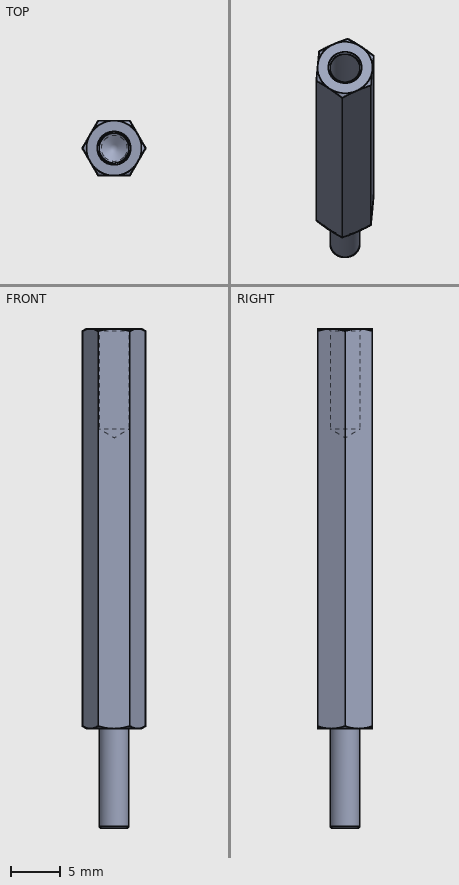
import cadquery as cq
import math

total_length = 50.0
stud_length = 10.0
body_length = total_length - stud_length
across_flats = 5.5
across_corners = across_flats / math.cos(math.radians(30))
stud_diameter = 3.0
stud_chamfer = 0.2
corner_chamfer_angle = 30.0

hole_diameter = 3.0
hole_depth = 10.0
drill_tip_angle = 118.0
countersink_width = 0.175


def hex_body():
    """Hexagonal bar whose corners are turned off conically at both ends."""
    bar = cq.Workplane("XY").polygon(6, across_corners).extrude(body_length)
    face_radius = across_flats / 2
    corner_radius = across_corners / 2
    drop = (corner_radius - face_radius) * math.tan(math.radians(corner_chamfer_angle))
    turned_envelope = (
        cq.Workplane("XZ")
        .moveTo(0, 0)
        .lineTo(face_radius, 0)
        .lineTo(corner_radius, drop)
        .lineTo(corner_radius, body_length - drop)
        .lineTo(face_radius, body_length)
        .lineTo(0, body_length)
        .close()
        .revolve(360, (0, 0), (0, 1))
    )
    return bar.intersect(turned_envelope)


def stud():
    """Round stud below the shoulder, chamfered at its free end."""
    pin = cq.Workplane("XY").circle(stud_diameter / 2).extrude(-stud_length)
    return pin.faces("<Z").chamfer(stud_chamfer)


def blind_hole():
    """Countersunk blind hole ending in a conical drill tip."""
    radius = hole_diameter / 2
    mouth_radius = radius + countersink_width
    bottom = body_length - hole_depth
    tip_depth = radius / math.tan(math.radians(drill_tip_angle / 2))
    return (
        cq.Workplane("XZ")
        .moveTo(0, body_length)
        .lineTo(mouth_radius, body_length)
        .lineTo(radius, body_length - countersink_width)
        .lineTo(radius, bottom)
        .lineTo(0, bottom - tip_depth)
        .close()
        .revolve(360, (0, 0), (0, 1))
    )


result = hex_body().union(stud()).cut(blind_hole())